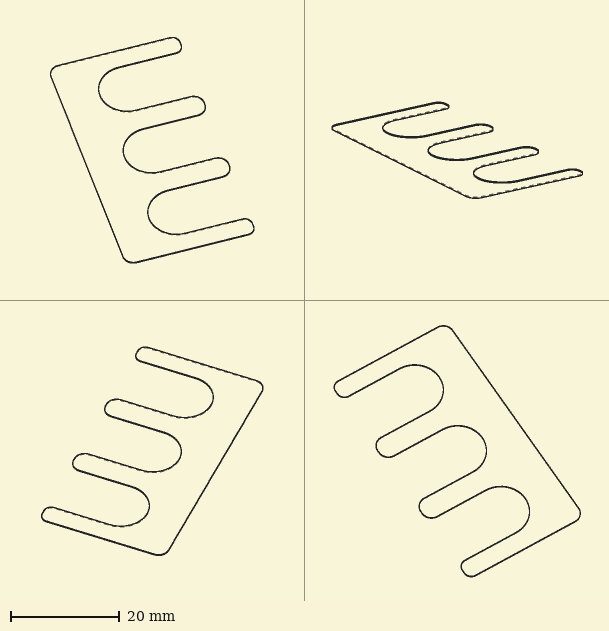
import cadquery as cq

length = 48.0
depth = 25.0
thickness = 0.25
base_corner_radius = 2.0

slot_count = 3
slot_width = 10.5
slot_pitch = 15.0
web_height = 7.25

outer_tip_radius = 1.5
inner_tip_radius = 2.0

slot_radius = slot_width / 2
slot_center_y = -depth / 2 + web_height + slot_radius
slot_centers_x = [(i - (slot_count - 1) / 2) * slot_pitch for i in range(slot_count)]
outer_finger_inner_x = slot_centers_x[-1] + slot_radius


def make_slot(center_x):
    """Cutter with a round bottom and straight sides running out through the +Y edge."""
    return (
        cq.Workplane("XY")
        .moveTo(center_x - slot_radius, depth / 2)
        .lineTo(center_x - slot_radius, slot_center_y)
        .threePointArc(
            (center_x, slot_center_y - slot_radius),
            (center_x + slot_radius, slot_center_y),
        )
        .lineTo(center_x + slot_radius, depth / 2)
        .close()
        .extrude(thickness)
    )


def is_outer_tip(edge):
    """True for the tip corners of the two end fingers."""
    tolerance = 0.005
    return abs(edge.Center().x) > outer_finger_inner_x - tolerance


plate = cq.Workplane("XY").box(length, depth, thickness, centered=(True, True, False))
plate = plate.edges("|Z and <Y").fillet(base_corner_radius)

for slot_center_x in slot_centers_x:
    plate = plate.cut(make_slot(slot_center_x))

outer_tips = plate.edges("|Z and >Y").filter(is_outer_tip)
plate = outer_tips.fillet(outer_tip_radius)
inner_tips = plate.edges("|Z and >Y").filter(lambda edge: not is_outer_tip(edge))
result = inner_tips.fillet(inner_tip_radius)